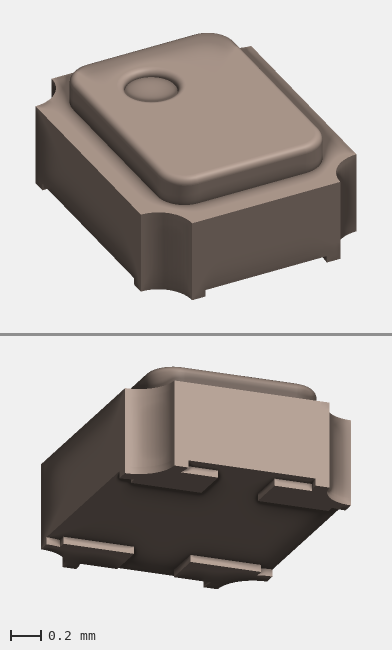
import cadquery as cq
import math

base_length = 2.0
base_width = 1.6
total_height = 0.8
corner_notch_radius = 0.25

lid_margin = 0.2
lid_height = 0.2
lid_corner_radius = 0.2
lid_edge_radius = 0.05

port_x = -0.35
port_y = -0.15
port_floor_diameter = 0.35
port_depth = 0.05

pad_thickness = 0.05
pad_rim_width = 0.1
pad_inset = 0.1
pad_reach_x = 0.4
pad_reach_y = 0.6

lid_bottom = total_height - lid_height
base_height = lid_bottom - pad_thickness
corner_signs = [(-1, -1), (1, -1), (1, 1), (-1, 1)]


def notched_block(bottom, height):
    """Block with the base outline, including the four corner notches."""
    plane = cq.Workplane("XY").workplane(offset=bottom)
    block = plane.rect(base_length, base_width).extrude(height)
    notches = (
        plane.rect(base_length, base_width, forConstruction=True)
        .vertices()
        .circle(corner_notch_radius)
        .extrude(height)
    )
    return block.cut(notches)


def make_lid():
    return (
        cq.Workplane("XY")
        .workplane(offset=lid_bottom)
        .rect(base_length - 2 * lid_margin, base_width - 2 * lid_margin)
        .extrude(lid_height)
        .edges("|Z")
        .fillet(lid_corner_radius)
        .faces(">Z")
        .edges()
        .fillet(lid_edge_radius)
    )


def make_port_cutter():
    """Shallow round recess whose wall is a convex quarter round as tall as the port is deep."""
    floor_radius = port_floor_diameter / 2
    mouth_radius = floor_radius + port_depth
    floor_z = total_height - port_depth
    arc_offset = port_depth * math.sqrt(0.5)
    profile = (
        cq.Workplane("XZ")
        .moveTo(0, floor_z)
        .lineTo(floor_radius, floor_z)
        .threePointArc((mouth_radius - arc_offset, floor_z + arc_offset), (mouth_radius, total_height))
        .lineTo(0, total_height)
        .close()
    )
    return profile.revolve(360, (0, 0), (0, 1)).translate((port_x, port_y, 0))


def make_housing():
    base = notched_block(pad_thickness, base_height)
    return base.union(make_lid()).cut(make_port_cutter())


def make_pad(sign_x, sign_y):
    """Pad at one corner: a ring around the notch joined to an inset rectangle."""
    corner_x = sign_x * base_length / 2
    corner_y = sign_y * base_width / 2
    disc = (
        cq.Workplane("XY")
        .center(corner_x, corner_y)
        .circle(corner_notch_radius + pad_rim_width)
        .extrude(pad_thickness)
    )
    rectangle_x = corner_x - sign_x * (pad_inset + pad_reach_x) / 2
    rectangle_y = corner_y - sign_y * (pad_inset + pad_reach_y) / 2
    rectangle = (
        cq.Workplane("XY")
        .center(rectangle_x, rectangle_y)
        .rect(pad_reach_x - pad_inset, pad_reach_y - pad_inset)
        .extrude(pad_thickness)
    )
    return disc.union(rectangle).intersect(notched_block(0, pad_thickness))


housing = make_housing()
pads = [make_pad(sign_x, sign_y) for sign_x, sign_y in corner_signs]

result = cq.Compound.makeCompound([housing.solids().val(), *[pad.solids().val() for pad in pads]])